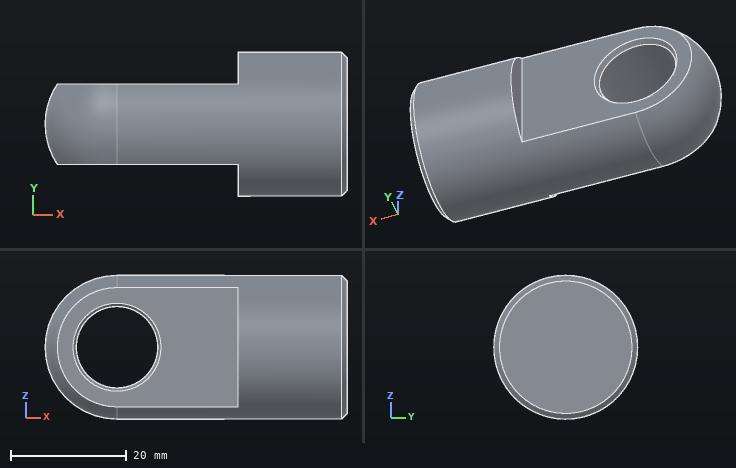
import math

import cadquery as cq

body_diameter = 25.0
body_radius = body_diameter / 2
shank_end = 40.0
end_chamfer = 1.0

tongue_thickness = 14.0
shoulder_position = 21.0

eye_diameter = 14.1
countersink_depth = 1.0
countersink_half_angle = 30.0


def rounded_rod():
    """Round rod with a spherical nose at -X and a chamfered end face at +X."""
    arc_offset = body_radius * math.sqrt(0.5)
    return (
        cq.Workplane("XY")
        .moveTo(-body_radius, 0)
        .threePointArc((-arc_offset, arc_offset), (0, body_radius))
        .lineTo(shank_end - end_chamfer, body_radius)
        .lineTo(shank_end, body_radius - end_chamfer)
        .lineTo(shank_end, 0)
        .close()
        .revolve(360, (0, 0, 0), (1, 0, 0))
    )


def side_relief(side):
    """Block that removes the rod on one side (+1 or -1 in Y) of the tongue."""
    length = body_radius + shoulder_position
    return (
        cq.Workplane("XY")
        .box(length, body_radius, body_diameter)
        .translate((
            shoulder_position - length / 2,
            side * (tongue_thickness + body_radius) / 2,
            0,
        ))
    )


def eye_cutter():
    """Through hole along Y, countersunk at both tongue faces."""
    half_thickness = tongue_thickness / 2
    eye_radius = eye_diameter / 2
    rim_radius = eye_radius + countersink_depth * math.tan(math.radians(countersink_half_angle))
    return (
        cq.Workplane("XY")
        .moveTo(0, -half_thickness)
        .lineTo(rim_radius, -half_thickness)
        .lineTo(eye_radius, -half_thickness + countersink_depth)
        .lineTo(eye_radius, half_thickness - countersink_depth)
        .lineTo(rim_radius, half_thickness)
        .lineTo(0, half_thickness)
        .close()
        .revolve(360, (0, 0, 0), (0, 1, 0))
    )


result = rounded_rod()
for side in (-1, 1):
    result = result.cut(side_relief(side))
result = result.cut(eye_cutter())